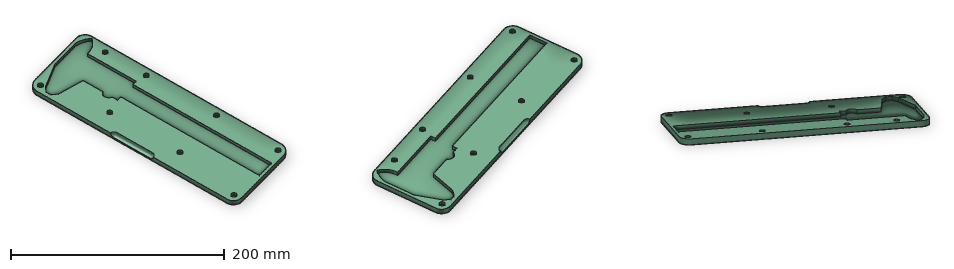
import cadquery as cq
import math

LENGTH = 242.0
WIDTH = 85.0
THICKNESS = 6.0
CORNER_RADIUS = 10.0

HOLE_DIAMETER = 5.5
HOLE_DEPTH = 4.0
HOLE_EDGE_INSET = 8.0
MIDDLE_HOLE_INSET_X = 80.0
MIDDLE_HOLE_Y = 20.0
JAW_HOLE_X = 32.0

POCKET_DEPTH = 4.0
POCKET_END_INSET = 3.35
BEAM_BOTTOM = 41.5
BEAM_WIDTH = 19.0
SLIDER_STEP = 5.0
SLIDER_RIGHT = 76.7

UPPER_JAW_BASE = 69.0
UPPER_JAW_TIP = (11.7, 83.0)
UPPER_JAW_LEFT_BULGE = (6.6, 77.0)
UPPER_JAW_RIGHT_BULGE = (17.3, 76.8)
UPPER_JAW_RIGHT = 19.9

LOWER_JAW_ROOT_RIGHT = 36.5
LOWER_JAW_TIP = [(28.2, 9.6), (23.0, 4.3), (17.2, 4.3), (12.7, 10.0)]

WHEEL_X = 65.0
WHEEL_HALF_WIDTH = 5.5
WHEEL_DROP = 3.9

NOTCH_LENGTH = 50.0
NOTCH_RADIUS = 4.0


def make_plate():
    plate = cq.Workplane("XY").box(LENGTH, WIDTH, THICKNESS, centered=False)
    return plate.edges("|Z").fillet(CORNER_RADIUS)


def make_caliper_pocket():
    left = POCKET_END_INSET
    right = LENGTH - POCKET_END_INSET
    beam_top = BEAM_BOTTOM + BEAM_WIDTH
    slider_top = beam_top + SLIDER_STEP
    slider_bottom = BEAM_BOTTOM - SLIDER_STEP
    outline = (
        cq.Workplane("XY", origin=(0, 0, THICKNESS))
        .moveTo(left, slider_bottom)
        .lineTo(left, UPPER_JAW_BASE)
        .threePointArc(UPPER_JAW_LEFT_BULGE, UPPER_JAW_TIP)
        .threePointArc(UPPER_JAW_RIGHT_BULGE, (UPPER_JAW_RIGHT, UPPER_JAW_BASE))
        .lineTo(UPPER_JAW_RIGHT, slider_top)
        .lineTo(SLIDER_RIGHT, slider_top)
        .lineTo(SLIDER_RIGHT, beam_top)
        .lineTo(right, beam_top)
        .lineTo(right, BEAM_BOTTOM)
        .lineTo(SLIDER_RIGHT, BEAM_BOTTOM)
        .lineTo(SLIDER_RIGHT, slider_bottom)
        .lineTo(WHEEL_X + WHEEL_HALF_WIDTH, slider_bottom)
        .threePointArc(
            (WHEEL_X, slider_bottom - WHEEL_DROP),
            (WHEEL_X - WHEEL_HALF_WIDTH, slider_bottom),
        )
        .lineTo(LOWER_JAW_ROOT_RIGHT, slider_bottom)
        .polyline(LOWER_JAW_TIP, includeCurrent=True)
        .close()
    )
    return outline.extrude(-POCKET_DEPTH)


def make_holes():
    near_x = HOLE_EDGE_INSET
    far_x = LENGTH - HOLE_EDGE_INSET
    front_y = HOLE_EDGE_INSET
    back_y = WIDTH - HOLE_EDGE_INSET
    centers = [(near_x, front_y), (far_x, front_y), (far_x, back_y), (JAW_HOLE_X, back_y)]
    for x in (MIDDLE_HOLE_INSET_X, LENGTH - MIDDLE_HOLE_INSET_X):
        for y in (MIDDLE_HOLE_Y, back_y):
            centers.append((x, y))
    return (
        cq.Workplane("XY", origin=(0, 0, THICKNESS))
        .pushPoints(centers)
        .circle(HOLE_DIAMETER / 2)
        .extrude(-HOLE_DEPTH)
    )


def make_finger_notch():
    half_length = NOTCH_LENGTH / 2
    half_straight = half_length - NOTCH_RADIUS
    round_offset = NOTCH_RADIUS * math.sqrt(0.5)
    half_profile = (
        cq.Workplane("XY", origin=(LENGTH / 2, 0, THICKNESS))
        .moveTo(-half_length, 0)
        .threePointArc((-half_straight - round_offset, round_offset), (-half_straight, NOTCH_RADIUS))
        .lineTo(half_straight, NOTCH_RADIUS)
        .threePointArc((half_straight + round_offset, round_offset), (half_length, 0))
        .close()
    )
    return half_profile.revolve(360, (0, 0, 0), (1, 0, 0))


result = make_plate().cut(make_caliper_pocket()).cut(make_holes()).cut(make_finger_notch())